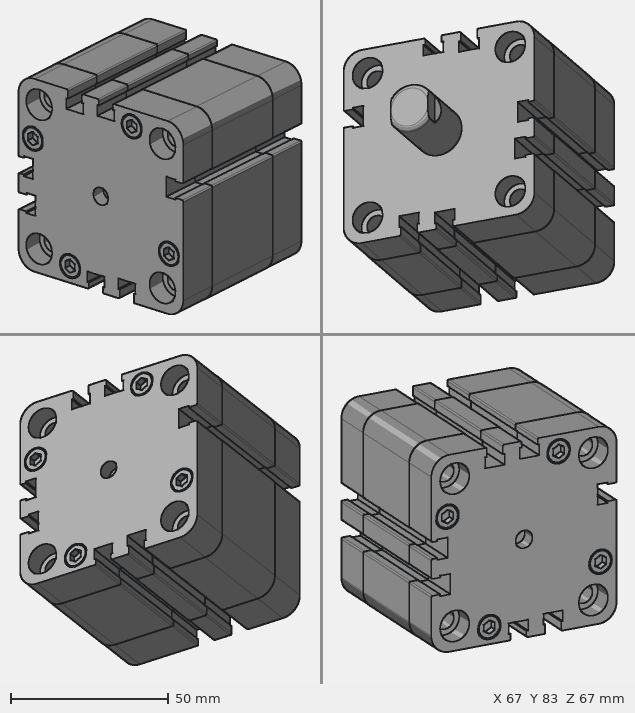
import cadquery as cq
import math

barrel_side = 67.0
overall_length = 83.0
cap_length = 14.8
barrel_length = 31.0
body_length = barrel_length + 2 * cap_length
rod_length = overall_length - body_length
corner_radius = 6.5
cap_inset = 0.075

slot_neck_width = 5.6
slot_width = 6.8
slot_head_depth = 3.7
slot_mouth_round = 0.5
shallow_slot_offset = 2.0
shallow_lip = 2.2
deep_slot_offset = -10.5
deep_lip = 3.2
slot_types = (
    (shallow_slot_offset, shallow_lip, (0, 1, 2)),
    (deep_slot_offset, deep_lip, (0, 1, 2, 3)),
)

mounting_pitch = 50.0
mounting_diameter = 6.65
counterbore_diameter = 10.5
counterbore_depth = 6.8

screw_along = 12.5
screw_outward = 27.6
screw_positions = [
    (screw_along, screw_outward),
    (-screw_outward, screw_along),
    (-screw_along, -screw_outward),
    (screw_outward, -screw_along),
]
screw_pocket_diameter = 8.25
screw_head_diameter = 7.5
screw_gap_depth = 0.5
hex_across_flats = 4.0
hex_depth = 2.5

centre_hole_diameter = 6.0
centre_hole_depth = 5.0

rod_diameter = 16.0
rod_end_round = 1.5
flats_width = 13.0
flats_length = 5.3


def extrude_along_y(sketch, length):
    """Extrude a front-plane sketch towards +Y."""
    return sketch.extrude(-length)


def front_plane(y):
    return cq.Workplane("XZ", origin=(0, y, 0))


def turned(shape, quarter_turns):
    """Turn a shape about the rod axis, from +Z towards -X."""
    return shape.rotate((0, 0, 0), (0, 1, 0), -90 * quarter_turns)


def slot_cutter(offset, lip, inset, y, length):
    """T-slot open on the +Z side, with rounded mouth edges."""
    surface = barrel_side / 2 - inset
    neck = slot_neck_width / 2 + inset
    head = slot_width / 2 + inset
    neck_bottom = barrel_side / 2 - lip - inset
    floor = barrel_side / 2 - lip - slot_head_depth - inset
    mouth = neck + slot_mouth_round
    round_start = surface - slot_mouth_round
    half_turn = slot_mouth_round * math.sqrt(0.5)
    arc_x = mouth - half_turn
    arc_z = round_start + half_turn
    outline = (
        front_plane(y)
        .moveTo(offset - head, floor)
        .lineTo(offset + head, floor)
        .lineTo(offset + head, neck_bottom)
        .lineTo(offset + neck, neck_bottom)
        .lineTo(offset + neck, round_start)
        .threePointArc((offset + arc_x, arc_z), (offset + mouth, surface))
        .lineTo(offset - mouth, surface)
        .threePointArc((offset - arc_x, arc_z), (offset - neck, round_start))
        .lineTo(offset - neck, neck_bottom)
        .lineTo(offset - head, neck_bottom)
        .close()
    )
    return extrude_along_y(outline, length)


def body_section(inset, y, length):
    """Rounded square length of the body, with its T-slots."""
    side = barrel_side - 2 * inset
    section = extrude_along_y(front_plane(y).rect(side, side), length)
    section = section.edges("|Y").fillet(corner_radius - inset)
    for offset, lip, quarter_turns in slot_types:
        cutter = slot_cutter(offset, lip, inset, y, length)
        for turns in quarter_turns:
            section = section.cut(turned(cutter, turns))
    return section


def mounting_hole_cutter():
    def corners(y):
        return front_plane(y).rect(mounting_pitch, mounting_pitch, forConstruction=True).vertices()

    cutter = extrude_along_y(corners(0).circle(mounting_diameter / 2), body_length)
    for y in (0, body_length - counterbore_depth):
        cutter = cutter.union(extrude_along_y(corners(y).circle(counterbore_diameter / 2), counterbore_depth))
    return cutter


def screw_cutter():
    """Ring-shaped gaps around the screw heads, and their hexagon sockets."""
    rings = front_plane(0).pushPoints(screw_positions)
    rings = rings.circle(screw_pocket_diameter / 2).circle(screw_head_diameter / 2)
    gaps = extrude_along_y(rings, screw_gap_depth)
    hexagons = front_plane(0).transformed(rotate=(0, 0, 90)).pushPoints(screw_positions)
    hexagons = hexagons.polygon(6, hex_across_flats / math.cos(math.pi / 6))
    return gaps.union(extrude_along_y(hexagons, hex_depth))


def piston_rod():
    """Rod with a rounded end and two wrench flats that run out at 45 degrees."""
    rod = extrude_along_y(front_plane(body_length).circle(rod_diameter / 2), rod_length)
    rod = rod.faces(">Y").edges().fillet(rod_end_round)
    tip = body_length + rod_length
    flat = flats_width / 2
    flat_start = tip - flats_length
    run_out = rod_diameter - flat
    for side in (-1, 1):
        cutter = (
            cq.Workplane("XY")
            .moveTo(side * flat, tip)
            .lineTo(side * flat, flat_start)
            .lineTo(side * rod_diameter, flat_start - run_out)
            .lineTo(side * rod_diameter, tip)
            .close()
            .extrude(rod_diameter, both=True)
        )
        rod = rod.cut(cutter)
    return rod


front_cap = body_section(cap_inset, 0, cap_length)
barrel = body_section(0, cap_length, barrel_length)
rear_cap = body_section(cap_inset, cap_length + barrel_length, cap_length)

body = front_cap.union(barrel).union(rear_cap)
body = body.cut(mounting_hole_cutter())
body = body.cut(screw_cutter())
body = body.cut(extrude_along_y(front_plane(0).circle(centre_hole_diameter / 2), centre_hole_depth))

result = body.union(piston_rod())